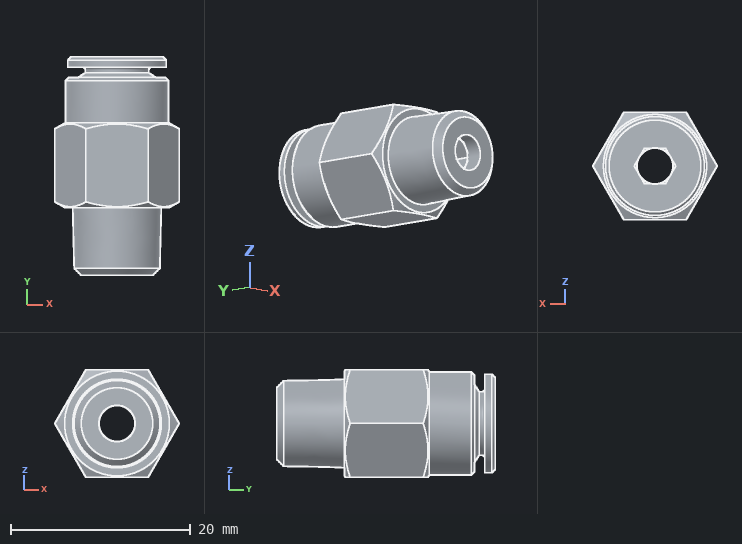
import cadquery as cq
import math

length = 24.35

taper_length = 7.55
taper_root_diameter = 9.88
taper_tip_diameter = 9.57
nose_chamfer = 0.8

hex_across_flats = 12.0
hex_end = 17.0
hex_front_circle = 11.65
hex_chamfer_angle = 30.0

body_diameter = 11.5
body_end = 22.03
body_chamfer = 0.37

cone_diameter = 8.67
neck_diameter = 7.1
neck_start = 22.55
neck_fillet = 0.3
ring_diameter = 11.0
ring_start = 23.15
ring_chamfer = 0.4

bore_diameter = 4.0
bore_depth = 2.0
socket_across_flats = bore_diameter


def hexagon_prism(across_flats, start, end):
    """Hexagonal prism along Y with two corners on the X axis."""
    across_corners = across_flats / math.cos(math.pi / 6)
    return (
        cq.Workplane("XZ", origin=(0, start, 0))
        .polygon(6, across_corners)
        .extrude(start - end)
    )


def revolve_about_y(profile):
    return profile.close().revolve(360, (0, 0, 0), (0, 1, 0))


def tapered_end():
    root_radius = taper_root_diameter / 2
    tip_radius = taper_tip_diameter / 2
    return revolve_about_y(
        cq.Workplane("XY")
        .lineTo(tip_radius - nose_chamfer, 0)
        .lineTo(tip_radius, nose_chamfer)
        .lineTo(root_radius, taper_length)
        .lineTo(0, taper_length)
    )


def wrench_hexagon():
    """Hexagon whose corners are trimmed by a cone at each end."""
    corner_radius = hex_across_flats / 2 / math.cos(math.pi / 6)
    slope = math.tan(math.radians(hex_chamfer_angle))
    front_radius = hex_front_circle / 2
    back_radius = body_diameter / 2
    trim = revolve_about_y(
        cq.Workplane("XY")
        .moveTo(0, taper_length)
        .lineTo(front_radius, taper_length)
        .lineTo(corner_radius, taper_length + (corner_radius - front_radius) * slope)
        .lineTo(corner_radius, hex_end - (corner_radius - back_radius) * slope)
        .lineTo(back_radius, hex_end)
        .lineTo(0, hex_end)
    )
    return hexagon_prism(hex_across_flats, taper_length, hex_end).intersect(trim)


def body_and_release_ring():
    body_radius = body_diameter / 2
    neck_radius = neck_diameter / 2
    ring_radius = ring_diameter / 2
    return revolve_about_y(
        cq.Workplane("XY")
        .moveTo(0, hex_end)
        .lineTo(body_radius, hex_end)
        .lineTo(body_radius, body_end - body_chamfer)
        .lineTo(body_radius - body_chamfer, body_end)
        .lineTo(cone_diameter / 2, body_end)
        .lineTo(neck_radius, neck_start)
        .lineTo(neck_radius, ring_start - neck_fillet)
        .radiusArc((neck_radius + neck_fillet, ring_start), neck_fillet)
        .lineTo(ring_radius, ring_start)
        .lineTo(ring_radius, length - ring_chamfer)
        .lineTo(ring_radius - ring_chamfer, length)
        .lineTo(0, length)
    )


bore = cq.Workplane("XZ").circle(bore_diameter / 2).extrude(-length)
socket = hexagon_prism(socket_across_flats, bore_depth, length)

fitting = tapered_end().union(wrench_hexagon()).union(body_and_release_ring())
result = fitting.cut(bore).cut(socket)